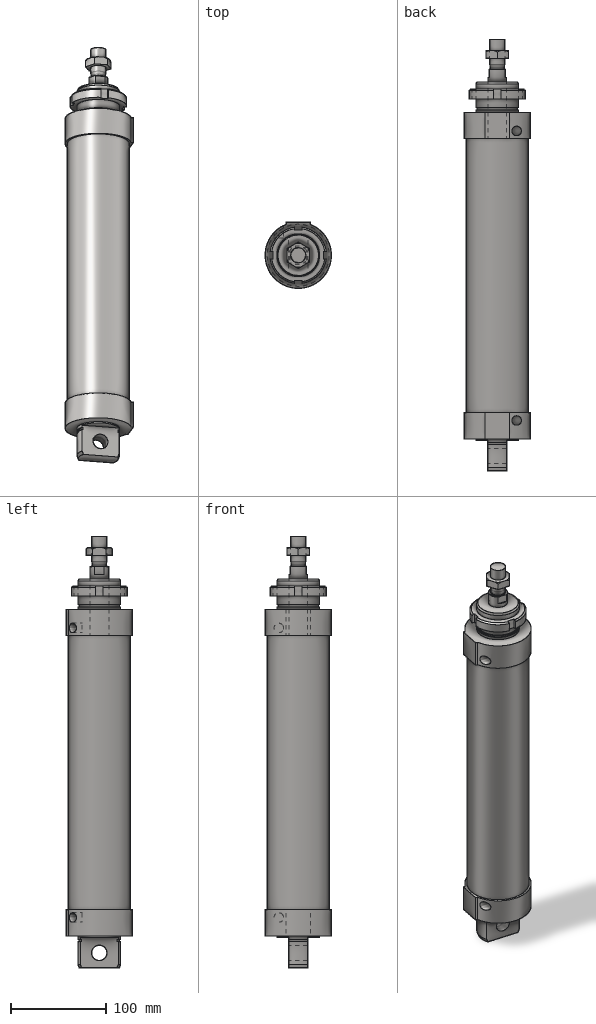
import cadquery as cq
import math

LENGTH = 454.0
TOP = LENGTH / 2
BOTTOM = -LENGTH / 2

BARREL_DIA = 65.5
CAP_DIA = 70.0
HEAD_CAP_TOP = 150.5
REAR_CAP_BOTTOM = -193.5
CAP_HEIGHT = 27.5

PAD_WIDTH = 25.5

SCREW_DIA = 10.0
SCREW_X = -20.5
SCREW_FLOOR_Y = 18.0
SCREW_INSET = 19.5

NECK_DIA = 45.0
NECK_TOP = 182.5
NECK_CHAMFER_WIDTH = 1.15
NECK_CHAMFER_HEIGHT = 2.3

GROOVE_DIA = 42.5
GROOVE_WIDTH = 2.3
NECK_COLLAR = 2.5
BOSS_COLLAR = 3.5

LUG_TOP = -195.0
LUG_THICKNESS = 20.5
LUG_HOLE_DIA = 16.0
LUG_HOLE_Z = -211.0
LUG_CHAMFER_WIDTH = 1.5
LUG_CHAMFER_HEIGHT = 3.5

ROD_DIA = 20.0
ROD_SHOULDER = 195.5
ROD_END = HEAD_CAP_TOP - CAP_HEIGHT
THREAD_DIA = 16.0
UNDERCUT_DIA = 15.0
UNDERCUT_BOTTOM = 196.0
UNDERCUT_TOP = 197.5
THREAD_END = 200.8
FLATS_ACROSS = 17.3
FLATS_HEIGHT = 8.0

ROD_NUT_ACROSS_FLATS = 24.0
ROD_NUT_TOP = 215.5
ROD_NUT_HEIGHT = 8.0
ROD_NUT_CHAMFER = 1.5

RING_NUT_DIA = 59.5
RING_NUT_TOP = 175.0
RING_NUT_HEIGHT = 10.5
RING_NUT_CHAMFER = 1.6
NOTCH_COUNT = 4
NOTCH_WIDTH = 7.5
NOTCH_DEPTH = 3.0


def cylinder(diameter, z_low, z_high):
    """A solid cylinder on the Z axis between two heights."""
    return cq.Workplane("XY").workplane(offset=z_low).circle(diameter / 2).extrude(z_high - z_low)


def cone(low_diameter, high_diameter, z_low, z_high):
    """A truncated cone on the Z axis between two heights."""
    base = cq.Vector(0, 0, z_low)
    frustum = cq.Solid.makeCone(low_diameter / 2, high_diameter / 2, z_high - z_low, base)
    return cq.Workplane("XY").add(frustum)


def make_cap(z_low, z_high, screw_z):
    """A round end cap with its port pad and screw hole."""
    cap_radius = CAP_DIA / 2
    pad = (
        cq.Workplane("XY")
        .box(PAD_WIDTH, cap_radius, z_high - z_low, centered=(True, False, False))
        .translate((0, 0, z_low))
    )
    hole_start = cq.Vector(SCREW_X, SCREW_FLOOR_Y, screw_z)
    screw_hole = cq.Solid.makeCylinder(SCREW_DIA / 2, CAP_DIA, hole_start, cq.Vector(0, 1, 0))
    return cylinder(CAP_DIA, z_low, z_high).union(pad).cut(screw_hole)


def make_groove(z_low):
    """The ring of material that an undercut groove removes."""
    z_high = z_low + GROOVE_WIDTH
    return cylinder(CAP_DIA, z_low, z_high).cut(cylinder(GROOVE_DIA, z_low, z_high))


def make_neck():
    """The threaded neck, with a bevelled top and an undercut at its foot."""
    straight_top = NECK_TOP - NECK_CHAMFER_HEIGHT
    neck = cylinder(NECK_DIA, HEAD_CAP_TOP, straight_top)
    neck = neck.union(cone(NECK_DIA, NECK_DIA - 2 * NECK_CHAMFER_WIDTH, straight_top, NECK_TOP))
    return neck.cut(make_groove(HEAD_CAP_TOP + NECK_COLLAR))


def make_lug():
    """The rear boss, bevelled and grooved, flattened on its X sides and drilled."""
    straight_bottom = BOTTOM + LUG_CHAMFER_HEIGHT
    boss = cylinder(NECK_DIA, straight_bottom, REAR_CAP_BOTTOM)
    boss = boss.union(cone(NECK_DIA - 2 * LUG_CHAMFER_WIDTH, NECK_DIA, BOTTOM, straight_bottom))
    boss = boss.cut(make_groove(REAR_CAP_BOTTOM - BOSS_COLLAR - GROOVE_WIDTH))
    slab = (
        cq.Workplane("XY")
        .box(LUG_THICKNESS, NECK_DIA, LUG_TOP - BOTTOM, centered=(True, True, False))
        .translate((0, 0, BOTTOM))
    )
    kept = slab.union(cylinder(NECK_DIA, LUG_TOP, REAR_CAP_BOTTOM))
    hole = (
        cq.Workplane("YZ")
        .center(0, LUG_HOLE_Z)
        .circle(LUG_HOLE_DIA / 2)
        .extrude(LUG_THICKNESS, both=True)
    )
    return boss.intersect(kept).cut(hole)


def make_cylinder_body():
    """Barrel, caps, neck and lug as one solid, with the rod bore."""
    head_cap_bottom = HEAD_CAP_TOP - CAP_HEIGHT
    rear_cap_top = REAR_CAP_BOTTOM + CAP_HEIGHT
    body = cylinder(BARREL_DIA, rear_cap_top, head_cap_bottom)
    body = body.union(make_cap(head_cap_bottom, HEAD_CAP_TOP, HEAD_CAP_TOP - SCREW_INSET))
    body = body.union(make_cap(REAR_CAP_BOTTOM, rear_cap_top, REAR_CAP_BOTTOM + SCREW_INSET))
    body = body.union(make_neck()).union(make_lug())
    return body.cut(cylinder(ROD_DIA, ROD_END, NECK_TOP))


def make_piston_rod():
    """The rod with its wrench flats, thread relief and threaded tip."""
    rod = cylinder(ROD_DIA, ROD_END, ROD_SHOULDER)
    flats_stock = cylinder(ROD_DIA, ROD_SHOULDER - FLATS_HEIGHT, ROD_SHOULDER)
    flats_core = (
        cq.Workplane("XY")
        .box(FLATS_ACROSS, ROD_DIA, FLATS_HEIGHT, centered=(True, True, False))
        .translate((0, 0, ROD_SHOULDER - FLATS_HEIGHT))
    )
    rod = rod.cut(flats_stock.cut(flats_core))
    rod = rod.union(cylinder(THREAD_DIA, ROD_SHOULDER, UNDERCUT_BOTTOM))
    rod = rod.union(cylinder(UNDERCUT_DIA, UNDERCUT_BOTTOM, UNDERCUT_TOP))
    rod = rod.union(cone(UNDERCUT_DIA, THREAD_DIA, UNDERCUT_TOP, THREAD_END))
    return rod.union(cylinder(THREAD_DIA, THREAD_END, TOP))


def make_rod_nut():
    """A hexagon nut with corners on the Y axis and its top corners bevelled."""
    across_corners = ROD_NUT_ACROSS_FLATS / math.cos(math.pi / 6)
    z_low = ROD_NUT_TOP - ROD_NUT_HEIGHT
    hexagon = (
        cq.Workplane("XY")
        .workplane(offset=z_low)
        .transformed(rotate=(0, 0, 90))
        .polygon(6, across_corners)
        .extrude(ROD_NUT_HEIGHT)
    )
    bevel = cylinder(across_corners, z_low, ROD_NUT_TOP).faces(">Z").chamfer(ROD_NUT_CHAMFER)
    return hexagon.intersect(bevel).cut(cylinder(THREAD_DIA, z_low, ROD_NUT_TOP))


def make_ring_nut():
    """A round nut with spanner notches in its rim."""
    z_low = RING_NUT_TOP - RING_NUT_HEIGHT
    nut = cylinder(RING_NUT_DIA, z_low, RING_NUT_TOP).faces(">Z").chamfer(RING_NUT_CHAMFER)
    notch = (
        cq.Workplane("XY")
        .box(2 * NOTCH_DEPTH, NOTCH_WIDTH, RING_NUT_HEIGHT, centered=(True, True, False))
        .translate((RING_NUT_DIA / 2, 0, z_low))
    )
    for index in range(NOTCH_COUNT):
        nut = nut.cut(notch.rotate((0, 0, 0), (0, 0, 1), index * 360 / NOTCH_COUNT))
    return nut.cut(cylinder(NECK_DIA, z_low, RING_NUT_TOP))


cylinder_body = make_cylinder_body()
piston_rod = make_piston_rod()
rod_nut = make_rod_nut()
ring_nut = make_ring_nut()

result = cq.Compound.makeCompound([
    cylinder_body.val(),
    piston_rod.val(),
    rod_nut.val(),
    ring_nut.val(),
])